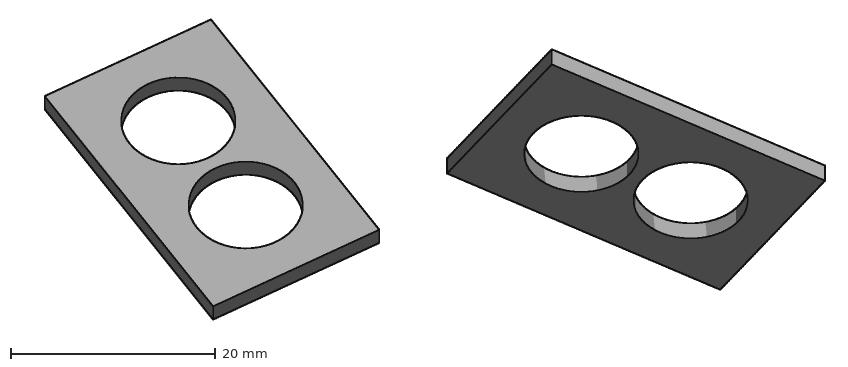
import cadquery as cq

plate_length = 31.75
plate_width = 19.05
plate_thickness = 2.0

hole_diameter = 11.18
hole_spacing = 12.7
hole_count = 2


def make_plate():
    """Flat rectangular plate centred on the origin."""
    return cq.Workplane("XY").box(plate_length, plate_width, plate_thickness)


def cut_holes(plate):
    """Cut the row of round holes through the full thickness."""
    return (
        plate.faces(">Z")
        .workplane()
        .rarray(hole_spacing, plate_width, hole_count, 1)
        .hole(hole_diameter)
    )


result = cut_holes(make_plate())